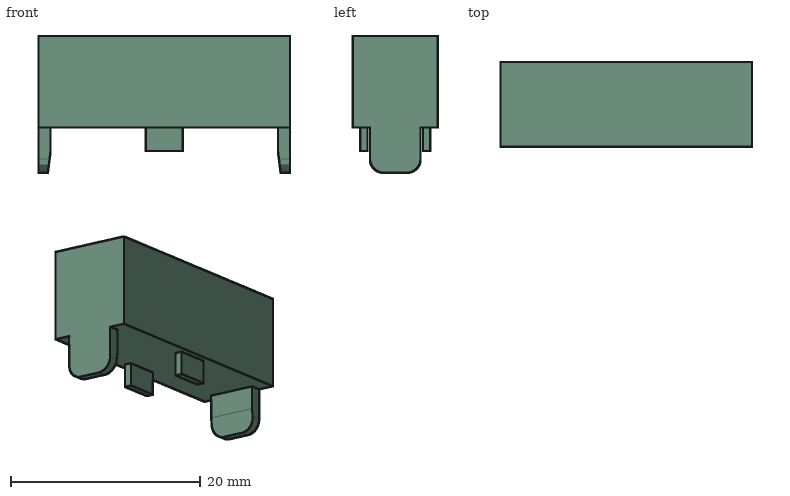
import cadquery as cq

length = 26.6
width = 9.0
total_height = 14.5
body_height = 9.7

leg_height = total_height - body_height
leg_width = 5.37
leg_thickness = 1.3
leg_tip_thickness = 1.0
leg_taper_height = 2.31
leg_corner_radius = 1.5

tab_length = 3.95
tab_thickness = 0.8
tab_height = 2.47
tab_spacing = 6.65


def make_body():
    """Plain block standing on the plane Z = 0."""
    return cq.Workplane("XY").box(length, width, body_height, centered=(True, True, False))


def make_leg():
    """Leg flush with the -X end: tapered on its inner face, rounded at both lower corners."""
    outer_x = -length / 2
    profile = [
        (outer_x, 0),
        (outer_x, -leg_height),
        (outer_x + leg_tip_thickness, -leg_height),
        (outer_x + leg_thickness, -leg_height + leg_taper_height),
        (outer_x + leg_thickness, 0),
    ]
    tapered_plate = cq.Workplane("XZ").polyline(profile).close().extrude(leg_width / 2, both=True)
    rounded_outline = (
        cq.Workplane("XY")
        .box(leg_thickness, leg_width, leg_height)
        .edges("|X and <Z")
        .fillet(leg_corner_radius)
        .translate((outer_x + leg_thickness / 2, 0, -leg_height / 2))
    )
    return tapered_plate.intersect(rounded_outline)


def make_tab(center_y):
    """Rectangular tab hanging below the middle of the body."""
    return (
        cq.Workplane("XY")
        .box(tab_length, tab_thickness, tab_height)
        .translate((0, center_y, -tab_height / 2))
    )


left_leg = make_leg()
right_leg = left_leg.mirror("YZ")

result = make_body().union(left_leg).union(right_leg)
for side in (-1, 1):
    result = result.union(make_tab(side * tab_spacing / 2))